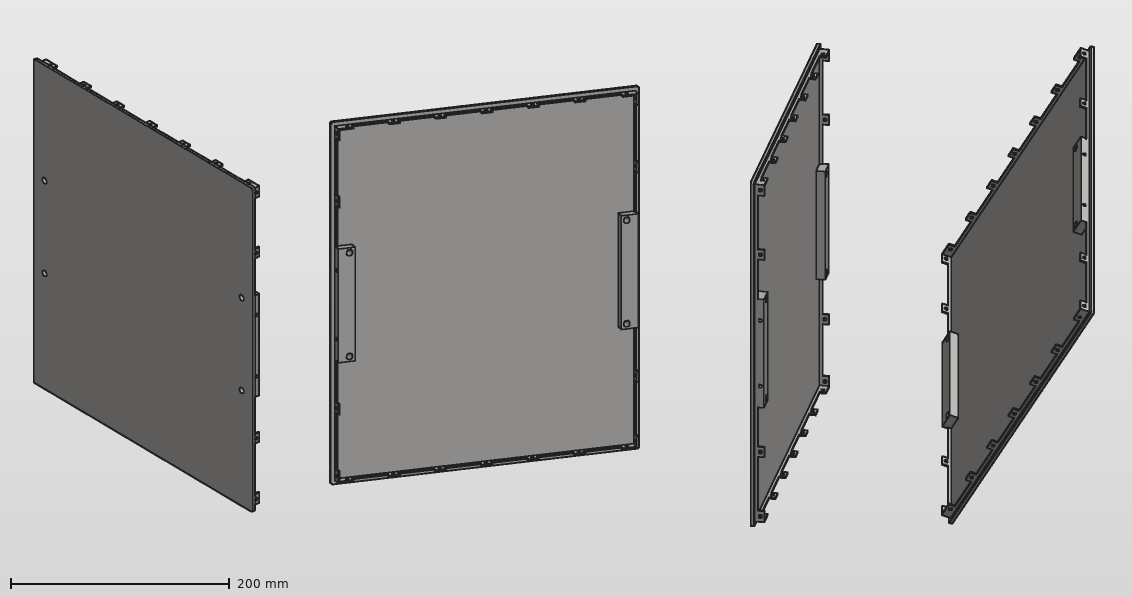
import cadquery as cq

PLATE_WIDTH = 300.0
PLATE_HEIGHT = 350.0
PLATE_THICKNESS = 3.0
PLATE_CORNER_RADIUS = 2.0

TOTAL_DEPTH = 12.0
FRAME_INSET = 4.0
FRAME_DEPTH = 6.0
SHEET_THICKNESS = 1.5
FRAME_WIDTH = PLATE_WIDTH - 2 * FRAME_INSET
FRAME_HEIGHT = PLATE_HEIGHT - 2 * FRAME_INSET

TAB_LENGTH = 10.0
TAB_HOLE_DIAMETER = 3.0
TAB_HOLE_Y = 8.0
END_TAB_SPACING = 45.0
END_TAB_SHIFT = 0.8
END_TAB_STEPS = (-2, -1, 0, 1, 2)
SIDE_TAB_OFFSET = 100.0
LEFT_LOWER_TAB_DROP = 2.28

CORNER_END_LENGTH = 15.0
CORNER_END_HOLE_INSET = 10.0
CORNER_SIDE_LENGTH = 11.2
CORNER_SIDE_HOLE_INSET = CORNER_SIDE_LENGTH / 2

BAR_WIDTH = 16.5
BAR_HEIGHT = 110.0
BAR_DEPTH = 11.5
BAR_SIDE_HOLE_SPACING = 66.5
BAR_SIDE_HOLE_LENGTH = 5.2

MOUNT_HOLE_DIAMETER = 6.0
MOUNT_HOLE_INSET = 15.0
MOUNT_HOLE_SPACING = 100.0


def block(x_min, x_max, z_min, z_max, depth):
    """Block that runs from the front plane, y = 0, back to y = depth."""
    return cq.Workplane("XY").box(
        x_max - x_min, depth, z_max - z_min, centered=False
    ).translate((x_min, 0, z_min))


def hole(diameter, length, start, direction):
    """Round cutter that runs from start along direction."""
    return cq.Workplane(
        cq.Solid.makeCylinder(diameter / 2, length, cq.Vector(*start), cq.Vector(*direction))
    )


def end_tab(side, x_min, x_max, hole_x):
    """Tab on the top (side = 1) or bottom (side = -1) wall."""
    outer = side * FRAME_HEIGHT / 2
    inner = outer - side * SHEET_THICKNESS
    tab = block(x_min, x_max, min(outer, inner), max(outer, inner), TOTAL_DEPTH)
    start = (hole_x, TAB_HOLE_Y, outer)
    return tab.cut(hole(TAB_HOLE_DIAMETER, SHEET_THICKNESS, start, (0, 0, -side)))


def side_tab(side, z_min, z_max, hole_z):
    """Tab on the right (side = 1) or left (side = -1) wall."""
    outer = side * FRAME_WIDTH / 2
    inner = outer - side * SHEET_THICKNESS
    tab = block(min(outer, inner), max(outer, inner), z_min, z_max, TOTAL_DEPTH)
    start = (outer, TAB_HOLE_Y, hole_z)
    return tab.cut(hole(TAB_HOLE_DIAMETER, SHEET_THICKNESS, start, (-side, 0, 0)))


def plate():
    body = block(
        -PLATE_WIDTH / 2, PLATE_WIDTH / 2, -PLATE_HEIGHT / 2, PLATE_HEIGHT / 2, PLATE_THICKNESS
    )
    return body.edges("|Y").fillet(PLATE_CORNER_RADIUS)


def frame():
    half_width = FRAME_WIDTH / 2
    half_height = FRAME_HEIGHT / 2
    inner_width = half_width - SHEET_THICKNESS
    inner_height = half_height - SHEET_THICKNESS
    outside = block(-half_width, half_width, -half_height, half_height, FRAME_DEPTH)
    inside = block(-inner_width, inner_width, -inner_height, inner_height, FRAME_DEPTH)
    return outside.cut(inside)


def bar(side):
    """Mounting bar with two blind holes in its outer face."""
    outer = side * FRAME_WIDTH / 2
    inner = outer - side * BAR_WIDTH
    body = block(min(outer, inner), max(outer, inner), -BAR_HEIGHT / 2, BAR_HEIGHT / 2, BAR_DEPTH)
    for end in (-1, 1):
        start = (outer, TAB_HOLE_Y, end * BAR_SIDE_HOLE_SPACING / 2)
        body = body.cut(hole(TAB_HOLE_DIAMETER, BAR_SIDE_HOLE_LENGTH, start, (-side, 0, 0)))
    return body


def centred_tabs():
    tabs = []
    for end in (-1, 1):
        for step in END_TAB_STEPS:
            x = step * END_TAB_SPACING + END_TAB_SHIFT
            tabs.append(end_tab(end, x - TAB_LENGTH / 2, x + TAB_LENGTH / 2, x))
    for side in (-1, 1):
        lower = -SIDE_TAB_OFFSET
        if side == -1:
            lower -= LEFT_LOWER_TAB_DROP
        for z in (lower, SIDE_TAB_OFFSET):
            tabs.append(side_tab(side, z - TAB_LENGTH / 2, z + TAB_LENGTH / 2, z))
    return tabs


def corner_tabs():
    tabs = []
    for side in (-1, 1):
        for end in (-1, 1):
            x = side * FRAME_WIDTH / 2
            z = end * FRAME_HEIGHT / 2
            x_stop = x - side * CORNER_END_LENGTH
            z_stop = z - end * CORNER_SIDE_LENGTH
            hole_x = x - side * CORNER_END_HOLE_INSET
            hole_z = z - end * CORNER_SIDE_HOLE_INSET
            tabs.append(end_tab(end, min(x, x_stop), max(x, x_stop), hole_x))
            tabs.append(side_tab(side, min(z, z_stop), max(z, z_stop), hole_z))
    return tabs


result = plate().union(frame())
for tab in centred_tabs() + corner_tabs():
    result = result.union(tab)
for side in (-1, 1):
    result = result.union(bar(side))

for side in (-1, 1):
    for end in (-1, 1):
        x = side * (PLATE_WIDTH / 2 - MOUNT_HOLE_INSET)
        z = end * MOUNT_HOLE_SPACING / 2
        result = result.cut(hole(MOUNT_HOLE_DIAMETER, TOTAL_DEPTH, (x, 0, z), (0, 1, 0)))